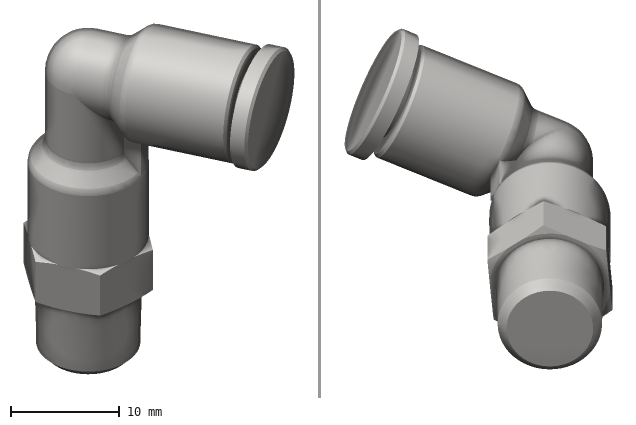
import cadquery as cq
import math

HEIGHT = 37.0
SHOULDER_BLEND_RADIUS = 1.0

PLUG_HEIGHT = 8.0
PLUG_TOP_RADIUS = 5.0
PLUG_BOTTOM_RADIUS = 4.8
PLUG_TIP_RADIUS = 4.0
PLUG_TIP_HEIGHT = 0.9

HEX_HEIGHT = 5.0
HEX_ACROSS_FLATS = 11.0
HEX_FACE_RADIUS = 5.55
HEX_CORNER_DROP = 0.24

BODY_RADIUS = 5.6
NECK_RADIUS = 4.0
SHOULDER_LENGTH = 1.85
STEM_SHOULDER_START = 21.6

SOCKET_SHOULDER_END = 5.3
SOCKET_END = 15.55
SOCKET_CHAMFER = 0.25

COLLAR_RADIUS = 3.75
RING_START = 16.28
RING_END = 17.95
RING_WIDTH = 13.0
RING_HEIGHT = 11.03
RING_CHAMFER = 0.25

RIB_THICKNESS = 2.0
RIB_REACH = 5.55

hex_top = PLUG_HEIGHT + HEX_HEIGHT
hex_corner_radius = HEX_ACROSS_FLATS / math.sqrt(3)
socket_height = HEIGHT - BODY_RADIUS


def revolve_about_z(profile):
    """Solid of revolution from (radius, height) points."""
    return cq.Workplane("XZ").polyline(profile).close().revolve(360, (0, 0, 0), (0, 1, 0))


def shouldered_bar(neck_length, total_length):
    """Bar along Z from the origin: a neck, a conical shoulder and a wider body."""
    profile = [
        (0, 0),
        (NECK_RADIUS, 0),
        (NECK_RADIUS, neck_length),
        (BODY_RADIUS, neck_length + SHOULDER_LENGTH),
        (BODY_RADIUS, total_length),
        (0, total_length),
    ]
    bar = revolve_about_z(profile)
    neck_corner = bar.edges(cq.selectors.RadiusNthSelector(0)).edges(">Z")
    body_corner = bar.edges(cq.selectors.RadiusNthSelector(1)).edges("<Z")
    return neck_corner.add(body_corner).fillet(SHOULDER_BLEND_RADIUS)


def make_stem():
    """Upright branch, its neck at the elbow and its body down to the hexagon."""
    neck_length = socket_height - STEM_SHOULDER_START - SHOULDER_LENGTH
    bar = shouldered_bar(neck_length, socket_height - hex_top)
    return bar.rotate((0, 0, 0), (1, 0, 0), 180).translate((0, 0, socket_height))


def make_socket():
    """Level branch towards +X with a bevelled mouth."""
    bar = shouldered_bar(SOCKET_SHOULDER_END - SHOULDER_LENGTH, SOCKET_END)
    bar = bar.faces(">Z").edges().chamfer(SOCKET_CHAMFER)
    return bar.rotate((0, 0, 0), (0, 1, 0), 90).translate((0, 0, socket_height))


def make_release_ring():
    """Oval ring standing off the socket mouth on a round collar."""
    collar = (
        cq.Workplane("YZ", origin=(SOCKET_END, 0, socket_height))
        .circle(COLLAR_RADIUS)
        .extrude(RING_START - SOCKET_END)
    )
    ring = (
        cq.Workplane("YZ", origin=(RING_START, 0, socket_height))
        .ellipse(RING_WIDTH / 2, RING_HEIGHT / 2)
        .extrude(RING_END - RING_START)
        .faces(">X")
        .edges()
        .chamfer(RING_CHAMFER)
    )
    return collar.union(ring)


def make_hexagon():
    """Hexagon with corners on the X axis, its corners bevelled at both ends."""
    prism = (
        cq.Workplane("XY", origin=(0, 0, PLUG_HEIGHT))
        .polygon(6, 2 * hex_corner_radius)
        .extrude(HEX_HEIGHT)
    )
    bevel_profile = [
        (0, PLUG_HEIGHT),
        (HEX_FACE_RADIUS, PLUG_HEIGHT),
        (hex_corner_radius, PLUG_HEIGHT + HEX_CORNER_DROP),
        (hex_corner_radius, hex_top - HEX_CORNER_DROP),
        (HEX_FACE_RADIUS, hex_top),
        (0, hex_top),
    ]
    bevel = revolve_about_z(bevel_profile)
    return prism.intersect(bevel)


def make_plug():
    """Slightly tapered plug with a bevelled tip."""
    profile = [
        (0, 0),
        (PLUG_TIP_RADIUS, 0),
        (PLUG_BOTTOM_RADIUS, PLUG_TIP_HEIGHT),
        (PLUG_TOP_RADIUS, PLUG_HEIGHT),
        (0, PLUG_HEIGHT),
    ]
    return revolve_about_z(profile)


def make_rib():
    """Web filling the inner corner, nearly flush with the side of the stem body."""
    return (
        cq.Workplane("XY", origin=(0, 0, STEM_SHOULDER_START))
        .rect(RIB_REACH, RIB_THICKNESS, centered=(False, True))
        .extrude(socket_height - STEM_SHOULDER_START)
    )


elbow = cq.Workplane("XY", origin=(0, 0, socket_height)).sphere(NECK_RADIUS)

result = (
    make_stem()
    .union(make_socket())
    .union(elbow)
    .union(make_rib())
    .union(make_hexagon())
    .union(make_plug())
    .union(make_release_ring())
)